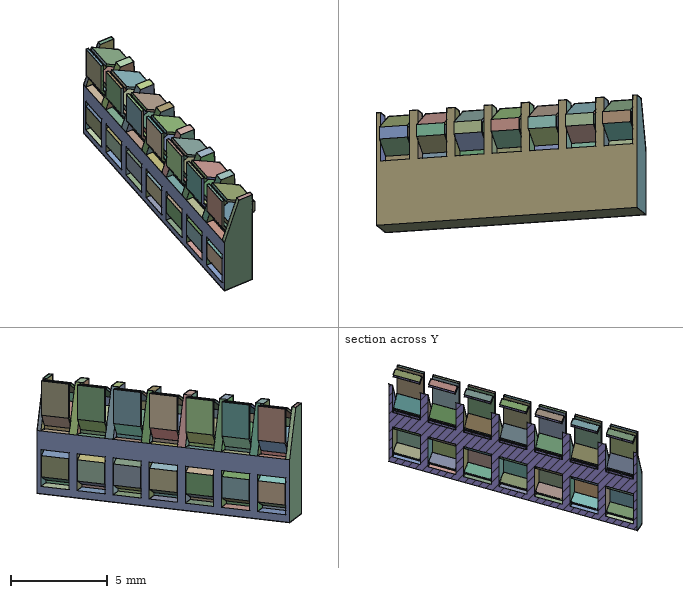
import cadquery as cq
import math

positions = 7
housing_length = 14.0
pitch = housing_length / positions

housing_depth = 1.7
housing_height = 5.98
bar_top = 3.4
fin_top_front = 0.88
slot_width = 1.55
window_bottom = 0.4
window_top = 2.4
window_depth = 0.7

contact_width = 1.5
thickness = 0.14
slope = math.tan(math.radians(30))

plate_top = 6.1
plate_bottom = 4.25
leg_front = 0.42
leg_back = leg_front + thickness
leg_top = 3.58
bump_top = 2.07
bump_root = bump_top + leg_front * slope
bump_bottom = 0.92
tail_length = 0.59
tail_end = bump_bottom - tail_length * slope

riser_bottom_back = 0.92
riser_top_back = 0.87
spring_back = 2.0
spring_back_bottom = 4.5
spring_back_top = 5.12
spring_tip = 0.34
riser_top = spring_back_bottom - (spring_back - riser_top_back) * slope
spring_tip_top = spring_back_top + (spring_back - spring_tip) * slope


def bent_strip(path):
    """Sheet strip lying one thickness to the left of a (Y, Z) path, mitred at each bend."""
    headings = [
        math.atan2(end[1] - start[1], end[0] - start[0])
        for start, end in zip(path, path[1:])
    ]
    arriving = headings[:1] + headings
    leaving = headings + headings[-1:]
    offset_path = []
    for (y, z), heading_in, heading_out in zip(path, arriving, leaving):
        normal = (heading_in + heading_out) / 2 + math.pi / 2
        reach = thickness / math.cos((heading_out - heading_in) / 2)
        offset_path.append((y + reach * math.cos(normal), z + reach * math.sin(normal)))
    profile = cq.Workplane("YZ").polyline(path + offset_path[::-1]).close()
    return profile.extrude(contact_width / 2, both=True)


def block(width, y_range, z_range):
    """Box centred on X = 0 between the given Y and Z limits."""
    y_min, y_max = y_range
    z_min, z_max = z_range
    box = cq.Workplane("XY").box(width, y_max - y_min, z_max - z_min, centered=(True, False, False))
    return box.translate((0, y_min, z_min))


def make_contact(x):
    leaf = bent_strip([
        (0, plate_top),
        (0, plate_bottom),
        (leg_front, leg_top),
        (leg_front, bump_root),
        (0, bump_top),
        (0, bump_bottom),
        (tail_length, tail_end),
    ])
    spring = bent_strip([
        (leg_front, bar_top),
        (riser_bottom_back, bar_top),
        (riser_top_back, riser_top),
        (spring_back, spring_back_bottom),
        (spring_back, spring_back_top),
        (spring_tip, spring_tip_top),
    ])
    return leaf.union(spring).translate((x, 0, 0))


def make_housing(centres):
    side = [
        (0, 0),
        (housing_depth, 0),
        (housing_depth, housing_height),
        (fin_top_front, housing_height),
        (0, bar_top),
    ]
    body = cq.Workplane("YZ").polyline(side).close().extrude(housing_length / 2, both=True)
    upper_slot = block(slot_width, (0, housing_depth), (bar_top, housing_height))
    window = block(slot_width, (0, window_depth), (window_bottom, window_top))
    leg_hole = block(contact_width, (leg_front, leg_back), (window_top, bar_top))
    for x in centres:
        for opening in (upper_slot, window, leg_hole):
            body = body.cut(opening.translate((x, 0, 0)))
    return body


contact_centres = [(i - (positions - 1) / 2) * pitch for i in range(positions)]
housing = make_housing(contact_centres)
contacts = [make_contact(x) for x in contact_centres]

result = cq.Compound.makeCompound([housing.val(), *[contact.val() for contact in contacts]])